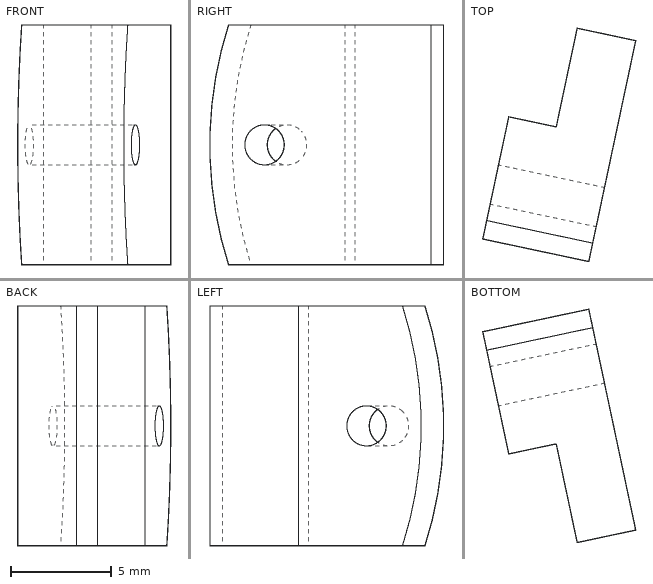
import cadquery as cq

height = 12
length = 11.3
thick_width = 5.42
thin_width = 3
thin_length = 5.04
nose_rise = 0.96
hole_diameter = 2.0
hole_from_nose = 2.8
tilt_angle = 12

step_width = thick_width - thin_width
step_start = length - thin_length
half_height = height / 2


def curved_nose_block():
    """Full block whose front end bulges as an arc across the height."""
    return (
        cq.Workplane("YZ")
        .moveTo(nose_rise, -half_height)
        .threePointArc((0, 0), (nose_rise, half_height))
        .lineTo(length, half_height)
        .lineTo(length, -half_height)
        .close()
        .extrude(thick_width)
    )


def step_cutter():
    """Corner removed to leave the thinner rear section."""
    return (
        cq.Workplane("XY")
        .box(step_width, thin_length, height, centered=(False, False, True))
        .translate((0, step_start, 0))
    )


def cross_hole():
    """Round hole through the thick section, square to its side faces."""
    return (
        cq.Workplane("YZ")
        .center(hole_from_nose, 0)
        .circle(hole_diameter / 2)
        .extrude(thick_width)
    )


body = curved_nose_block().cut(step_cutter()).cut(cross_hole())

result = body.rotate((0, 0, 0), (0, 0, 1), -tilt_angle)